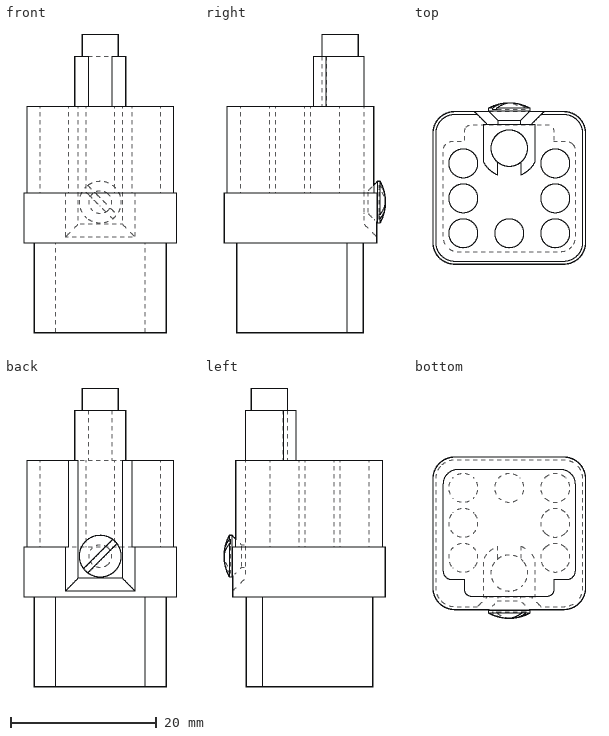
import cadquery as cq
import math

collar_bottom_z = 12.35
collar_top_z = 19.23
body_top_z = 31.1
jaw_top_z = 37.95
overall_height = 41.0

collar_width = 21.0
collar_corner_radius = 3.05
collar_step = 0.4
body_width = collar_width - 2 * collar_step
body_corner_radius = collar_corner_radius - collar_step

plug_half_width = 9.05
plug_front_y = -8.77
plug_shoulder_y = 6.35
plug_front_radius = 2.0
plug_shoulder_radius = 1.2
tongue_half_width = 6.15
tongue_back_y = 8.65
tongue_radius = 0.95

hole_diameter = 3.98
hole_depth = body_top_z - collar_top_z
hole_column_x = 6.3
hole_rows = 3
hole_row_pitch = 4.8
hole_front_y = -6.25

pin_y = 5.45
pin_radius = 2.5
jaw_half_width = 3.53
jaw_back_y = 8.75
jaw_nose_radius = 4.0
jaw_gap = 3.3

screw_z = 17.95
shank_radius = 1.55
head_radius = 2.85
head_tip_y = 11.7
dome_height = 0.75
rim_height = 0.35
screw_slot_width = 0.8
screw_slot_depth = 0.9
screw_slot_angle = 45.0

notch_back_y = jaw_back_y
notch_inner_half_width = 3.05
notch_outer_half_width = notch_inner_half_width + collar_width / 2 - notch_back_y


def rounded_square(width, radius, bottom_z, top_z):
    """Square prism on the Z axis with rounded vertical edges."""
    block = cq.Workplane("XY").workplane(offset=bottom_z).rect(width, width).extrude(top_z - bottom_z)
    return block.edges("|Z").fillet(radius)


def box(half_width, front_y, back_y, top_z):
    """Block centred on X = 0, standing on the underside of the plug."""
    depth = back_y - front_y
    block = cq.Workplane("XY").box(2 * half_width, depth, top_z, centered=(True, False, False))
    return block.translate((0, front_y, 0))


def make_plug():
    """Plug block with rounded corners and the narrower tongue behind it."""
    main = box(plug_half_width, plug_front_y, plug_shoulder_y, collar_bottom_z)
    main = main.edges("|Z and <Y").fillet(plug_front_radius)
    main = main.edges("|Z and >Y").fillet(plug_shoulder_radius)
    tongue = box(tongue_half_width, 0, tongue_back_y, collar_bottom_z)
    tongue = tongue.edges("|Z and >Y").fillet(tongue_radius)
    return main.union(tongue)


def make_contact_holes():
    """Seven blind holes: three on each side and one in the middle of the front row."""
    centres = [(0, hole_front_y)]
    for row in range(hole_rows):
        for side in (-1, 1):
            centres.append((side * hole_column_x, hole_front_y + row * hole_row_pitch))
    top = cq.Workplane("XY").workplane(offset=body_top_z)
    return top.pushPoints(centres).circle(hole_diameter / 2).extrude(-hole_depth)


def make_notch():
    """Opening around the screw, flaring outwards to the +Y side and open at the top."""

    def section(y, half_width):
        floor_z = screw_z - half_width
        height = body_top_z - floor_z
        plane = cq.Plane(origin=(0, y, floor_z + height / 2), xDir=(1, 0, 0), normal=(0, 1, 0))
        return cq.Workplane(plane).rect(2 * half_width, height).wires().val()

    inner = section(notch_back_y, notch_inner_half_width)
    outer = section(collar_width / 2, notch_outer_half_width)
    return cq.Workplane(cq.Solid.makeLoft([inner, outer], True))


def make_terminal():
    """Pin and jaw block; the nose of the jaws is an arc about the pin axis."""
    jaw_height = jaw_top_z - body_top_z
    side_end_y = pin_y - math.sqrt(jaw_nose_radius**2 - jaw_half_width**2)
    base = cq.Workplane("XY").workplane(offset=body_top_z)
    jaws = (
        base.moveTo(-jaw_half_width, jaw_back_y)
        .lineTo(-jaw_half_width, side_end_y)
        .threePointArc((0, pin_y - jaw_nose_radius), (jaw_half_width, side_end_y))
        .lineTo(jaw_half_width, jaw_back_y)
        .close()
        .extrude(jaw_height)
    )
    gap = base.center(0, pin_y - jaw_nose_radius).rect(jaw_gap, 2 * jaw_nose_radius).extrude(jaw_height)
    pin = base.center(0, pin_y).circle(pin_radius).extrude(overall_height - body_top_z)
    return jaws.cut(gap).union(pin)


def make_screw():
    """Raised countersunk screw with a slanted driver slot."""
    dome_edge_y = head_tip_y - dome_height
    rim_bottom_y = dome_edge_y - rim_height
    cone_bottom_y = rim_bottom_y - (head_radius - shank_radius)
    dome_radius = (head_radius**2 + dome_height**2) / (2 * dome_height)
    mid_radius = head_radius / 2
    mid_y = head_tip_y - dome_radius + math.sqrt(dome_radius**2 - mid_radius**2)
    profile = (
        cq.Workplane("XY")
        .moveTo(0, pin_y)
        .lineTo(shank_radius, pin_y)
        .lineTo(shank_radius, cone_bottom_y)
        .lineTo(head_radius, rim_bottom_y)
        .lineTo(head_radius, dome_edge_y)
        .threePointArc((mid_radius, mid_y), (0, head_tip_y))
        .close()
    )
    screw = profile.revolve(360, (0, 0, 0), (0, 1, 0))
    slot = cq.Workplane("XY").box(2 * head_radius, 2 * screw_slot_depth, screw_slot_width)
    slot = slot.translate((0, head_tip_y, 0)).rotate((0, 0, 0), (0, 1, 0), screw_slot_angle)
    return screw.cut(slot).translate((0, 0, screw_z))


collar = rounded_square(collar_width, collar_corner_radius, collar_bottom_z, collar_top_z)
upper_body = rounded_square(body_width, body_corner_radius, collar_top_z, body_top_z)
housing = collar.union(upper_body).union(make_plug())
housing = housing.cut(make_contact_holes()).cut(make_notch())

result = housing.union(make_terminal()).union(make_screw())